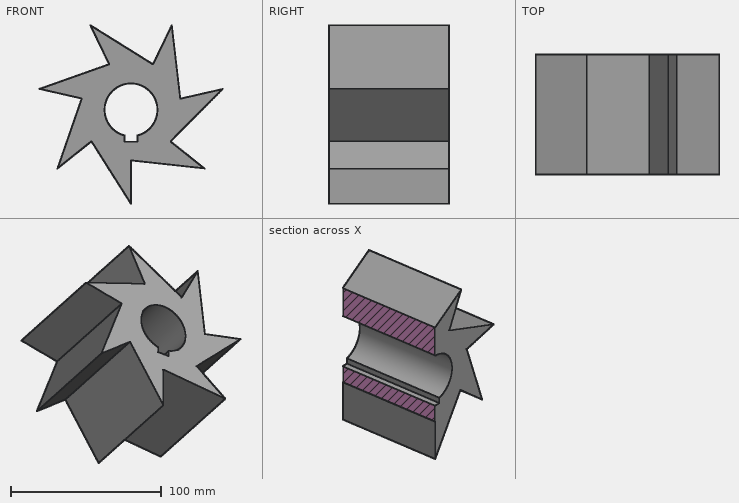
import cadquery as cq
import math

tooth_count = 7
overall_width = 121.9
cutter_length = 80.0
root_radius = 33.6
bore_diameter = 35.0
keyway_width = 8.4
keyway_floor_distance = 21.1

tooth_pitch = 2 * math.pi / tooth_count
first_tooth_angle = -math.pi / 2
tip_radius = overall_width / 2 / math.cos(tooth_pitch / 4)


def polar_point(radius, angle):
    return (radius * math.cos(angle), radius * math.sin(angle))


def make_toothed_body():
    """Star-shaped prism along Y; each tooth has a radial cutting face."""
    outline = []
    for tooth in range(tooth_count):
        angle = first_tooth_angle + tooth * tooth_pitch
        outline.append(polar_point(tip_radius, angle))
        outline.append(polar_point(root_radius, angle))
    profile = cq.Workplane("XZ").polyline(outline).close()
    return profile.extrude(cutter_length)


def make_keyed_bore():
    """Through bore with a rectangular keyway on its lower side."""
    bore = cq.Workplane("XZ").circle(bore_diameter / 2).extrude(cutter_length)
    keyway = (
        cq.Workplane("XZ")
        .center(0, -keyway_floor_distance / 2)
        .rect(keyway_width, keyway_floor_distance)
        .extrude(cutter_length)
    )
    return bore.union(keyway)


result = make_toothed_body().cut(make_keyed_bore())